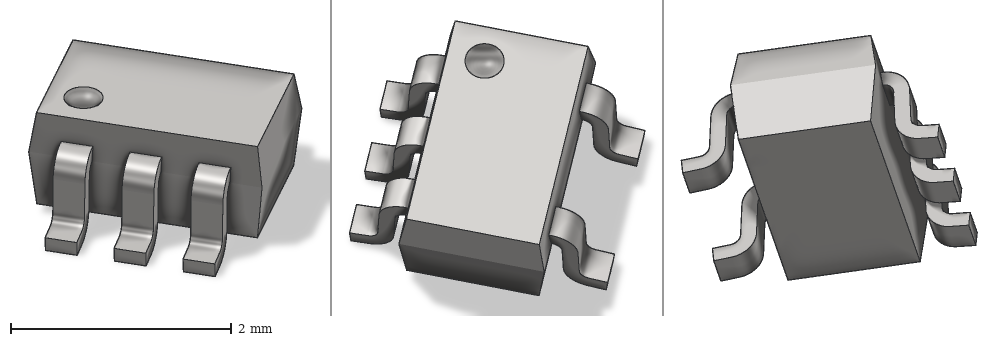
import cadquery as cq
import math

BODY_LENGTH = 2.2
BODY_WIDTH = 1.35
UPPER_HEIGHT = 0.403
LOWER_HEIGHT = 0.595
UPPER_INSET = 0.058
LOWER_INSET = 0.06

LEAD_THICKNESS = 0.15
LEAD_WIDTH = 0.3
LEAD_PITCH = 0.65
LEAD_TOP = 0.154
INNER_RADIUS = 0.1
OUTER_RADIUS = INNER_RADIUS + LEAD_THICKNESS
LEG_LENGTH = 0.348
LEG_TILT = 2
FOOT_TILT = 5
LEAD_TIP_Y = 1.2
LEAD_EMBED = 0.095

DIMPLE_X = -0.695
DIMPLE_Y = -0.27
DIMPLE_RADIUS = 0.178
DIMPLE_DEPTH = 0.1


def body_half(height, inset):
    """Taper from the parting plane to a smaller face at the signed height."""
    return (
        cq.Workplane("XY")
        .rect(BODY_LENGTH, BODY_WIDTH)
        .workplane(offset=height)
        .rect(BODY_LENGTH - 2 * inset, BODY_WIDTH - 2 * inset)
        .loft(ruled=True)
    )


def polar(center, radius, degrees):
    angle = math.radians(degrees)
    return (center[0] + radius * math.cos(angle), center[1] + radius * math.sin(angle))


def lead(x):
    """Lead on the +Y side: shoulder bend, tilted leg, foot bend and sloping foot."""
    shoulder = (BODY_WIDTH / 2, LEAD_TOP - OUTER_RADIUS)
    root_y = BODY_WIDTH / 2 - LEAD_EMBED
    shoulder_end = LEG_TILT
    shoulder_mid = (90 + shoulder_end) / 2

    leg_top = polar(shoulder, OUTER_RADIUS + INNER_RADIUS, shoulder_end)
    foot_bend = polar(leg_top, LEG_LENGTH, LEG_TILT - 90)
    bend_start = 180 + LEG_TILT
    bend_end = 270 - FOOT_TILT
    bend_mid = (bend_start + bend_end) / 2

    foot_top = polar(foot_bend, INNER_RADIUS, bend_end)
    foot_length = (LEAD_TIP_Y - foot_top[0]) / math.cos(math.radians(FOOT_TILT))
    tip_top = polar(foot_top, foot_length, -FOOT_TILT)
    tip_bottom = polar(tip_top, LEAD_THICKNESS, bend_end)

    return (
        cq.Workplane("YZ", origin=(x - LEAD_WIDTH / 2, 0, 0))
        .moveTo(root_y, LEAD_TOP)
        .lineTo(*polar(shoulder, OUTER_RADIUS, 90))
        .threePointArc(
            polar(shoulder, OUTER_RADIUS, shoulder_mid),
            polar(shoulder, OUTER_RADIUS, shoulder_end),
        )
        .lineTo(*polar(foot_bend, INNER_RADIUS, bend_start))
        .threePointArc(polar(foot_bend, INNER_RADIUS, bend_mid), foot_top)
        .lineTo(*tip_top)
        .lineTo(*tip_bottom)
        .lineTo(*polar(foot_bend, OUTER_RADIUS, bend_end))
        .threePointArc(
            polar(foot_bend, OUTER_RADIUS, bend_mid),
            polar(foot_bend, OUTER_RADIUS, bend_start),
        )
        .lineTo(*polar(shoulder, INNER_RADIUS, shoulder_end))
        .threePointArc(
            polar(shoulder, INNER_RADIUS, shoulder_mid),
            polar(shoulder, INNER_RADIUS, 90),
        )
        .lineTo(root_y, LEAD_TOP - LEAD_THICKNESS)
        .close()
        .extrude(LEAD_WIDTH)
    )


def dimple():
    sphere_radius = (DIMPLE_RADIUS**2 + DIMPLE_DEPTH**2) / (2 * DIMPLE_DEPTH)
    center_z = UPPER_HEIGHT - DIMPLE_DEPTH + sphere_radius
    return cq.Workplane("XY").sphere(sphere_radius).translate((DIMPLE_X, DIMPLE_Y, center_z))


result = body_half(UPPER_HEIGHT, UPPER_INSET).union(body_half(-LOWER_HEIGHT, LOWER_INSET))

for position in (-1, 0, 1):
    result = result.union(lead(position * LEAD_PITCH).mirror("XZ"))

for position in (-1, 1):
    result = result.union(lead(position * LEAD_PITCH))

result = result.cut(dimple())